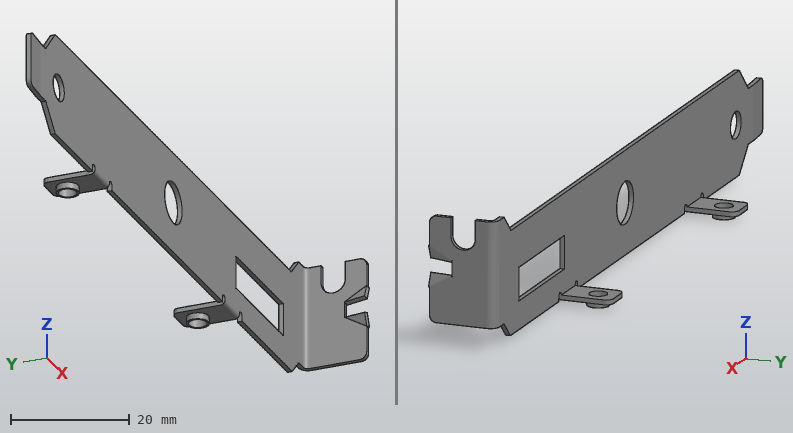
import cadquery as cq
import math


length = 120.87
overall_depth = 21.21
overall_height = 22.71
thickness = 0.86
plate_height = 18.42
plate_mid_z = plate_height / 2

tongue_width = 9.8
tongue_bottom = plate_mid_z - tongue_width / 2
tongue_top = plate_mid_z + tongue_width / 2
tongue_corner_radius = 1.1
tongue_root_x = 7.4
tongue_bend_x = 5.2
tongue_bend_angle = 4.0
tongue_taper_run = 4.1

flange_top = 21.6
flange_bottom = 2.85
flange_bend_radius = 0.8
flange_corner_radius = 1.3
flange_taper_x = 117.2
flange_mid_x = length - thickness / 2

screw_notch_y = -5.95
screw_notch_width = 4.4
screw_notch_depth = 5.45

edge_slot_bottom = 11.25
edge_slot_top = 14.05
edge_slot_depth = 4.1
lip_height = 2.4
lip_angle = 22.0

small_hole_diameter = 4.75
small_hole_x = 13.05
large_hole_diameter = 7.5
large_hole_x = 62.8
window_left = 90.05
window_width = 20.4
window_bottom = 5.05
window_height = 5.9

tab_centers = (31.9, 88.35)
tab_width = 6.2
tab_reach = 8.95
tab_corner_radius = 1.3
relief_width = 1.1
relief_height = 1.45
tab_hole_y = 5.45
tab_hole_diameter = 3.17
collar_diameter = 3.89
collar_height = overall_height - flange_top

lip_hinge_length = math.hypot(edge_slot_depth, lip_height)
lip_overhang = thickness * math.sin(math.radians(lip_angle)) * lip_height / lip_hinge_length
flange_reach = overall_depth - tab_reach - lip_overhang


def box(x0, x1, y0, y1, z0, z1):
    """Block between opposite corners given by its limits along each axis."""
    return cq.Workplane("XY").box(x1 - x0, y1 - y0, z1 - z0, centered=False).translate((x0, y0, z0))


def make_plate():
    """Flat plate from the tongue bend to the start of the flange bend."""
    bend_start = length - thickness - flange_bend_radius
    body_start = tongue_root_x + tongue_taper_run
    outline = [
        (tongue_bend_x, tongue_bottom),
        (tongue_root_x, tongue_bottom),
        (body_start, 0),
        (flange_taper_x - flange_bottom, 0),
        (flange_taper_x, flange_bottom),
        (bend_start, flange_bottom),
        (bend_start, flange_top),
        (flange_taper_x, flange_top),
        (flange_taper_x - (flange_top - plate_height), plate_height),
        (body_start, plate_height),
        (tongue_root_x, tongue_top),
        (tongue_bend_x, tongue_top),
    ]
    return cq.Workplane("XZ").polyline(outline).close().extrude(thickness)


def make_tongue():
    """Rounded tongue bent slightly forward about the upright line at the plate's front face."""
    turn = math.radians(tongue_bend_angle)
    flat_length = (tongue_bend_x - thickness * math.sin(turn)) / math.cos(turn)
    flat_tip_x = tongue_bend_x - flat_length
    tongue = box(flat_tip_x, tongue_bend_x, -thickness, 0, tongue_bottom, tongue_top)
    tongue = tongue.edges("|Y and <X").fillet(tongue_corner_radius)
    hinge_bottom = (tongue_bend_x, -thickness, 0)
    hinge_top = (tongue_bend_x, -thickness, 1)
    tongue = tongue.rotate(hinge_bottom, hinge_top, tongue_bend_angle)
    opened = (tongue_bend_x - thickness * math.sin(turn), -thickness + thickness * math.cos(turn))
    wedge = (
        cq.Workplane("XY")
        .polyline([(tongue_bend_x, -thickness), (tongue_bend_x, 0), opened])
        .close()
        .extrude(tongue_width)
        .translate((0, 0, tongue_bottom))
    )
    return tongue.union(wedge)


def make_lip(root_z, edge_direction):
    """Triangle beside the edge slot, bent toward -X about its sloping side.

    edge_direction is +1 for the lip above the slot and -1 for the one below it.
    """
    edge_y = -flange_reach
    root_y = edge_y + edge_slot_depth
    inner_x = length - thickness
    outer_z = root_z + edge_direction * lip_height
    triangle = (
        cq.Workplane("YZ")
        .polyline([(root_y, root_z), (edge_y, root_z), (edge_y, outer_z)])
        .close()
        .extrude(thickness)
        .translate((inner_x, 0, 0))
    )
    hinge_root = cq.Vector(inner_x, root_y, root_z)
    hinge_edge = cq.Vector(inner_x, edge_y, outer_z)
    across_sheet = cq.Vector(thickness, 0, 0)
    turn = -edge_direction * lip_angle
    bent = triangle.rotate(hinge_root.toTuple(), hinge_edge.toTuple(), turn)
    section = cq.Wire.makePolygon(
        [hinge_root, hinge_edge, hinge_edge + across_sheet, hinge_root + across_sheet], close=True
    )
    axis_start, axis_end = (hinge_root, hinge_edge) if turn > 0 else (hinge_edge, hinge_root)
    bend = cq.Solid.revolve(section, [], lip_angle, axis_start, axis_end)
    return triangle, bent.union(cq.Workplane(bend))


def make_flange():
    """Flange bent forward at the +X end, with its bend, screw notch and edge slot."""
    height = flange_top - flange_bottom
    outer_radius = flange_bend_radius + thickness
    bend_start = length - outer_radius
    mid_arc = math.sqrt(0.5)
    bend = (
        cq.Workplane("XY")
        .moveTo(bend_start, 0)
        .threePointArc(
            (bend_start + outer_radius * mid_arc, -outer_radius + outer_radius * mid_arc),
            (length, -outer_radius),
        )
        .lineTo(length - thickness, -outer_radius)
        .threePointArc(
            (bend_start + flange_bend_radius * mid_arc, -outer_radius + flange_bend_radius * mid_arc),
            (bend_start, -thickness),
        )
        .close()
        .extrude(height)
        .translate((0, 0, flange_bottom))
    )
    leaf = box(length - thickness, length, -flange_reach, -outer_radius, flange_bottom, flange_top)
    leaf = leaf.edges("|X and <Y").fillet(flange_corner_radius)

    notch = (
        cq.Workplane("YZ", origin=(flange_mid_x - thickness, screw_notch_y, flange_top))
        .slot2D(2 * screw_notch_depth, screw_notch_width, 90)
        .extrude(2 * thickness)
    )
    slot = box(
        flange_mid_x - thickness,
        flange_mid_x + thickness,
        -flange_reach,
        -flange_reach + edge_slot_depth,
        edge_slot_bottom,
        edge_slot_top,
    )
    flange = bend.union(leaf.cut(notch).cut(slot))
    for root_z, direction in ((edge_slot_top, 1), (edge_slot_bottom, -1)):
        triangle, bent = make_lip(root_z, direction)
        flange = flange.cut(triangle).union(bent)
    return flange


def cut_plate_openings(plate):
    """Two round holes on the plate's centre line and the rectangular window."""
    for x, diameter in ((small_hole_x, small_hole_diameter), (large_hole_x, large_hole_diameter)):
        hole = cq.Workplane("XZ").center(x, plate_mid_z).circle(diameter / 2).extrude(thickness)
        plate = plate.cut(hole)
    window = box(
        window_left,
        window_left + window_width,
        -thickness,
        0,
        window_bottom,
        window_bottom + window_height,
    )
    return plate.cut(window)


def cut_tab_opening(plate, center_x):
    """Opening for a tab's bend and the round-topped relief notch on each side of it."""
    half = tab_width / 2
    plate = plate.cut(box(center_x - half, center_x + half, -thickness, 0, 0, thickness))
    relief_radius = relief_width / 2
    for side in (-1, 1):
        relief_x = center_x + side * (half + relief_radius)
        relief = (
            cq.Workplane("XZ")
            .moveTo(relief_x - relief_radius, 0)
            .lineTo(relief_x + relief_radius, 0)
            .lineTo(relief_x + relief_radius, relief_height - relief_radius)
            .threePointArc(
                (relief_x, relief_height), (relief_x - relief_radius, relief_height - relief_radius)
            )
            .close()
            .extrude(thickness)
        )
        plate = plate.cut(relief)
    return plate


def make_tab(center_x):
    """Tab folded to +Y along the lower edge, with a hole that runs through a collar below.

    The bend is sharp inside and rounded outside, so its section is a solid quarter circle.
    """
    half = tab_width / 2
    leaf = box(center_x - half, center_x + half, 0, tab_reach, 0, thickness)
    leaf = leaf.edges("|Z and >Y").fillet(tab_corner_radius)
    quarter_bend = (
        cq.Workplane("YZ")
        .center(0, thickness)
        .circle(thickness)
        .extrude(tab_width)
        .translate((center_x - half, 0, 0))
        .intersect(box(center_x - half, center_x + half, -thickness, 0, 0, thickness))
    )
    collar = (
        cq.Workplane("XY")
        .center(center_x, tab_hole_y)
        .circle(collar_diameter / 2)
        .extrude(-collar_height)
    )
    hole = (
        cq.Workplane("XY", origin=(center_x, tab_hole_y, -collar_height))
        .circle(tab_hole_diameter / 2)
        .extrude(collar_height + thickness)
    )
    return leaf.union(quarter_bend).union(collar).cut(hole)


plate = cut_plate_openings(make_plate())
for tab_x in tab_centers:
    plate = cut_tab_opening(plate, tab_x).union(make_tab(tab_x))
result = plate.union(make_tongue()).union(make_flange())